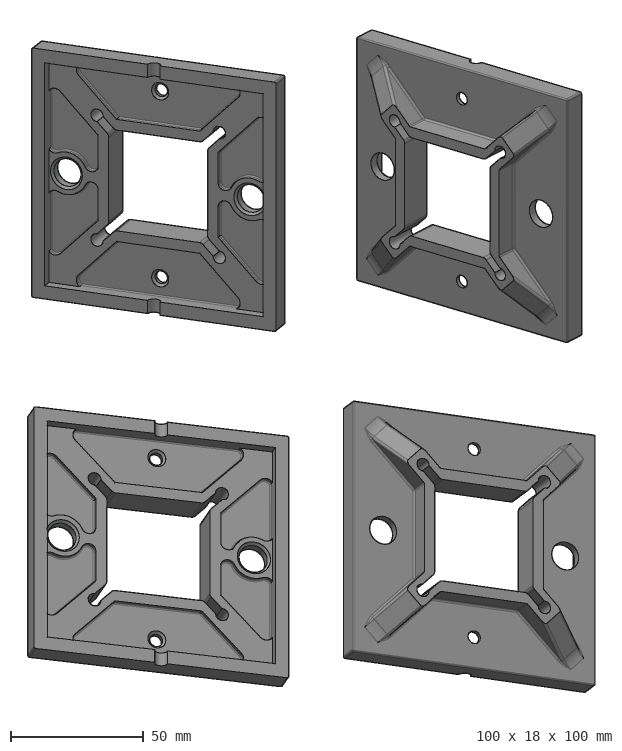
import cadquery as cq
import math

plate_size = 100.0
plate_thickness = 9.0
plate_corner_radius = 0.8
plate_back_radius = 0.5
total_depth = 18.0
rim_inner_half = 44.7
floor_y = 4.2

opening_half = 20.2
slot_width = 3.5
slot_end_radius = 2.5
slot_end_place = 25.0
slot_mouth_radius = 2.0

collar_half = 24.5
rib_half_width = 4.75
rib_reach_top = 40.5
rib_reach_base = 57.5
rib_toe_radius = 10.0
rib_edge_radius = 1.0
collar_joint_radius = 1.0
base_fillet = 0.8

pocket_depth = 2.0
pocket_floor_y = floor_y + pocket_depth
pocket_floor_fillet = 0.5
pocket_inner = collar_half
pocket_outer = 45.2
pocket_inner_half_width = 17.0
pocket_outer_half_width = pocket_inner_half_width + pocket_outer - pocket_inner
pocket_corner_radius = 3.0
pocket_throat_radius = 2.8
boss_radius = 8.5

hole_place = 37.5
screw_hole_radius = 2.5
cable_hole_radius = 5.5
hole_chamfer = 1.0
groove_radius = 2.5

selection_margin = 0.1


def plane_at(y):
    """Sketch plane facing -Y at the given depth; its local axes are X and Z."""
    return cq.Workplane("XZ", origin=(0, y, 0))


def square_prism(half_size, y_start, y_end):
    return plane_at(y_start).rect(2 * half_size, 2 * half_size).extrude(y_start - y_end)


def central_box(half_size, y_start, y_end):
    """Selector for the edges centred in a square block around the Y axis."""
    half = half_size + selection_margin
    low = (-half, y_start - selection_margin, -half)
    high = (half, y_end + selection_margin, half)
    return cq.selectors.BoxSelector(low, high)


def turn_about_y(shape, angle):
    return shape.rotate((0, 0, 0), (0, 1, 0), angle)


def point_on_arc(center, radius, angle):
    turn = math.radians(angle)
    return (center[0] + radius * math.cos(turn), center[1] + radius * math.sin(turn))


def make_plate():
    plate = square_prism(plate_size / 2, 0, plate_thickness)
    plate = plate.edges("|Y").fillet(plate_corner_radius)
    return plate.faces(">Y").edges().fillet(plate_back_radius)


def make_rib():
    """Rib along +X whose sloped end runs out onto the plate with a tangent arc."""
    slope = math.atan2(total_depth - plate_thickness, rib_reach_base - rib_reach_top)
    tangent = rib_toe_radius * math.tan(slope / 2)
    toe_start = (
        rib_reach_base - tangent * math.cos(slope),
        plate_thickness + tangent * math.sin(slope),
    )
    toe_end = (rib_reach_base + tangent, plate_thickness)
    toe_center = (toe_end[0], plate_thickness + rib_toe_radius)
    toe_middle = point_on_arc(toe_center, rib_toe_radius, -90 - math.degrees(slope) / 2)
    profile = (
        cq.Workplane("XY")
        .moveTo(0, floor_y)
        .lineTo(0, total_depth)
        .lineTo(rib_reach_top, total_depth)
        .lineTo(*toe_start)
        .threePointArc(toe_middle, toe_end)
        .lineTo(toe_end[0], floor_y)
        .close()
    )
    rib = profile.extrude(rib_half_width, both=True)

    slope_middle_x = (rib_reach_top + toe_start[0]) / 2
    slope_middle_y = (total_depth + toe_start[1]) / 2
    for z in (-rib_half_width, rib_half_width):
        long_edge = cq.NearestToPointSelector((slope_middle_x, slope_middle_y, z))
        rib = rib.edges(long_edge).fillet(rib_edge_radius)
    return rib


def make_body():
    """Plate with the collar and the four ribs, still without openings."""
    body = make_plate().union(square_prism(collar_half, floor_y, total_depth))
    rib = make_rib()
    for angle in (45, 135, 225, 315):
        body = body.union(turn_about_y(rib, angle))
    joints = central_box(collar_half, plate_thickness, total_depth)
    body = body.edges("|Y").edges(joints).fillet(collar_joint_radius)
    base_edges = central_box(rib_reach_top, plate_thickness, plate_thickness)
    return body.edges(base_edges).fillet(base_fillet)


def make_opening():
    cutter = square_prism(opening_half, 0, total_depth)
    slot_length = 2 * math.hypot(slot_end_place, slot_end_place)
    slot = plane_at(0).rect(slot_length, slot_width).extrude(-total_depth)
    for angle in (45, -45):
        cutter = cutter.union(turn_about_y(slot, angle))
    slot_mouths = central_box(opening_half, 0, total_depth)
    cutter = cutter.edges("|Y").edges(slot_mouths).fillet(slot_mouth_radius)
    slot_ends = plane_at(0).rect(2 * slot_end_place, 2 * slot_end_place, forConstruction=True)
    return cutter.union(slot_ends.vertices().circle(slot_end_radius).extrude(-total_depth))


def make_pocket(outline):
    """Pocket with rounded outer corners, cut off at the rim, with a rounded floor edge."""
    pocket = outline.close().extrude(-pocket_depth)
    pocket = pocket.edges("|Y and >Z").fillet(pocket_corner_radius)
    pocket = pocket.intersect(square_prism(rim_inner_half, 0, total_depth))
    return pocket.faces(">Y").edges().fillet(pocket_floor_fillet)


def make_screw_pocket():
    """Trapezoid pocket on the +Z side."""
    corners = [
        (-pocket_inner_half_width, pocket_inner),
        (pocket_inner_half_width, pocket_inner),
        (pocket_outer_half_width, pocket_outer),
        (-pocket_outer_half_width, pocket_outer),
    ]
    return make_pocket(plane_at(floor_y).polyline(corners))


def arc_beside_boss(center_x, radius):
    """Centre of an arc that touches the boss from outside, and the touching point."""
    reach = boss_radius + radius
    offset_x = center_x - hole_place
    center_z = math.sqrt(reach**2 - offset_x**2)
    share = boss_radius / reach
    return (center_x, center_z), (hole_place + offset_x * share, center_z * share)


def make_side_pocket():
    """Pocket in the +X +Z quarter, wrapped around the boss of the cable hole."""
    throat, throat_touch = arc_beside_boss(pocket_inner + pocket_throat_radius, pocket_throat_radius)
    heel, heel_touch = arc_beside_boss(pocket_outer - pocket_corner_radius, pocket_corner_radius)
    throat_middle = point_on_arc(throat, pocket_throat_radius, 240)
    heel_middle = point_on_arc(heel, pocket_corner_radius, 300)
    outline = (
        plane_at(floor_y)
        .moveTo(pocket_inner, pocket_inner_half_width)
        .lineTo(pocket_inner, throat[1])
        .threePointArc(throat_middle, throat_touch)
        .threePointArc((hole_place, boss_radius), heel_touch)
        .threePointArc(heel_middle, (pocket_outer, heel[1]))
        .lineTo(pocket_outer, pocket_outer_half_width)
    )
    return make_pocket(outline)


def make_hole(radius, x, z, mouth_y):
    """Through hole with a chamfered mouth on the -Y side."""
    hole = plane_at(mouth_y).center(x, z).circle(radius).extrude(mouth_y - total_depth)
    mouth = cq.Solid.makeCone(
        radius + hole_chamfer, radius, hole_chamfer, cq.Vector(x, mouth_y, z), cq.Vector(0, 1, 0)
    )
    return hole.union(cq.Workplane(mouth))


result = make_body()
result = result.cut(square_prism(rim_inner_half, 0, floor_y))
result = result.cut(make_opening())

screw_pocket = make_screw_pocket()
result = result.cut(screw_pocket).cut(screw_pocket.mirror("XY"))

side_pocket = make_side_pocket()
for pocket in (side_pocket, side_pocket.mirror("XY")):
    result = result.cut(pocket).cut(pocket.mirror("YZ"))

for place in (-hole_place, hole_place):
    result = result.cut(make_hole(screw_hole_radius, 0, place, pocket_floor_y))
    result = result.cut(make_hole(cable_hole_radius, place, 0, floor_y))

groove = cq.Workplane("XY").circle(groove_radius).extrude(plate_size / 2, both=True)
result = result.cut(groove)